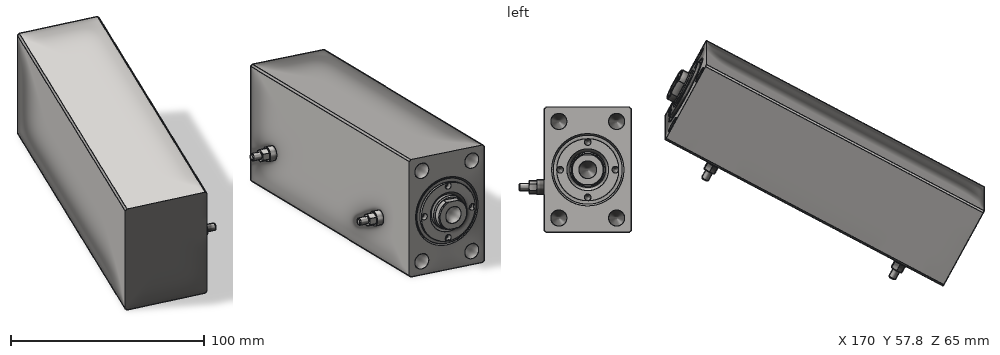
import cadquery as cq
import math


overall_length = 170.0
rod_reach = 6.8
block_length = overall_length - rod_reach
block_width = 45.0
block_height = 65.0
edge_chamfer = 1.0

mount_hole_diameter = 8.3
mount_hole_depth = 23.8
mount_spacing_y = 30.0
mount_spacing_z = 50.0
drill_point_angle = 118.0

gland_diameter = 35.7
gland_depth = 20.4
bore_chamfer = 0.8
collar_diameter = 32.1
collar_height = 1.5
mouth_diameter = 21.6
mouth_depth = 1.7
spanner_hole_diameter = 3.4
spanner_hole_depth = 3.4
spanner_hole_radius = 14.3
spanner_hole_count = 4

rod_diameter = 18.4
rod_chamfer = 0.7
neck_diameter = 17.0
neck_length = 3.9
neck_chamfer = 0.5
across_flats = 15.1
rod_hole_diameter = 9.2
rod_hole_depth = 18.7

screw_first_x = 30.1
screw_spacing = 110.0
screw_count = 2
screw_z = -9.0
base_diameter = 7.8
base_height = 3.7
hex_across_flats = 6.0
hex_height = 4.0
hex_chamfer = 0.3
tip_diameter = 3.9
tip_height = 5.1
tip_chamfer = 0.5


def rod_along_x(diameter, start_x, length):
    """Cylinder on the X axis that runs from start_x toward +X."""
    return cq.Workplane("YZ").workplane(offset=start_x).circle(diameter / 2).extrude(length)


def drilled_hole(diameter, depth, start_x, y=0.0, z=0.0):
    """Blind hole along +X, with the cone of a drill point at its end."""
    radius = diameter / 2
    point_length = radius / math.tan(math.radians(drill_point_angle / 2))
    profile = (
        cq.Workplane("XY")
        .moveTo(0, 0)
        .lineTo(0, radius)
        .lineTo(depth, radius)
        .lineTo(depth + point_length, 0)
        .close()
    )
    return profile.revolve(360, (0, 0, 0), (1, 0, 0)).translate((start_x, y, z))


def make_block():
    block = (
        cq.Workplane("XY")
        .box(block_length, block_width, block_height, centered=(False, True, True))
        .edges("|X")
        .chamfer(edge_chamfer)
    )
    for side_y in (-1, 1):
        for side_z in (-1, 1):
            hole_y = side_y * mount_spacing_y / 2
            hole_z = side_z * mount_spacing_z / 2
            block = block.cut(drilled_hole(mount_hole_diameter, mount_hole_depth, 0, hole_y, hole_z))

    gland_radius = gland_diameter / 2
    bore = (
        cq.Workplane("XY")
        .moveTo(0, 0)
        .lineTo(0, gland_radius + bore_chamfer)
        .lineTo(bore_chamfer, gland_radius)
        .lineTo(gland_depth, gland_radius)
        .lineTo(gland_depth, 0)
        .close()
        .revolve(360, (0, 0, 0), (1, 0, 0))
    )
    return block.cut(bore)


def make_gland():
    rod_radius = rod_diameter / 2
    gland_radius = gland_diameter / 2
    gland = (
        cq.Workplane("XY")
        .moveTo(mouth_depth - collar_height, rod_radius)
        .lineTo(-collar_height, mouth_diameter / 2)
        .lineTo(-collar_height, collar_diameter / 2)
        .lineTo(0, collar_diameter / 2)
        .lineTo(0, gland_radius)
        .lineTo(gland_depth, gland_radius)
        .lineTo(gland_depth, rod_radius)
        .close()
        .revolve(360, (0, 0, 0), (1, 0, 0))
    )
    for index in range(spanner_hole_count):
        angle = 2 * math.pi * index / spanner_hole_count
        hole_y = spanner_hole_radius * math.cos(angle)
        hole_z = spanner_hole_radius * math.sin(angle)
        hole = drilled_hole(spanner_hole_diameter, spanner_hole_depth, -collar_height, hole_y, hole_z)
        gland = gland.cut(hole)
    return gland


def make_rod():
    shoulder_x = neck_length - rod_reach
    shank = rod_along_x(rod_diameter, shoulder_x, gland_depth - shoulder_x)
    shank = shank.faces("<X").chamfer(rod_chamfer)
    neck = rod_along_x(neck_diameter, -rod_reach, neck_length)
    neck = neck.faces("<X").chamfer(neck_chamfer)
    flats = (
        cq.Workplane("XY")
        .box(neck_length, neck_diameter, across_flats, centered=(False, True, True))
        .translate((-rod_reach, 0, 0))
    )
    rod = shank.union(neck.intersect(flats))
    return rod.cut(drilled_hole(rod_hole_diameter, rod_hole_depth, -rod_reach))


def make_bleed_screw(x):
    """Round base, hexagon with corners toward +Z and -Z, and a round tip, stacked along +Y."""
    hex_across_corners = hex_across_flats / math.cos(math.pi / 6)
    base = cq.Workplane("XY").circle(base_diameter / 2).extrude(base_height)
    hexagon = (
        cq.Workplane("XY")
        .polygon(6, hex_across_corners)
        .extrude(hex_height)
        .rotate((0, 0, 0), (0, 0, 1), 90)
    )
    crown = cq.Workplane("XY").circle(hex_across_corners / 2).extrude(hex_height)
    crown = crown.edges().chamfer(hex_chamfer)
    hexagon = hexagon.intersect(crown).translate((0, 0, base_height))
    tip = (
        cq.Workplane("XY")
        .circle(tip_diameter / 2)
        .extrude(tip_height)
        .faces(">Z")
        .chamfer(tip_chamfer)
        .translate((0, 0, base_height + hex_height))
    )
    screw = base.union(hexagon).union(tip)
    return screw.rotate((0, 0, 0), (1, 0, 0), -90).translate((x, block_width / 2, screw_z))


block = make_block()
gland = make_gland()
rod = make_rod()
bleed_screws = [make_bleed_screw(screw_first_x + index * screw_spacing) for index in range(screw_count)]

result = cq.Compound.makeCompound(
    [block.val(), gland.val(), rod.val(), *[screw.val() for screw in bleed_screws]]
)